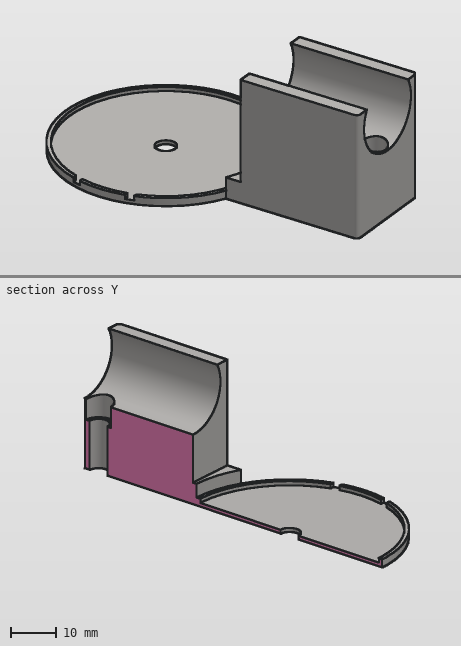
import cadquery as cq

plate_diameter = 52.9
plate_thickness = 2.0
rim_width = 1.0
recess_depth = 1.0
hole_diameter = 5.0

notch_width = 2.0
notch_spacing = 13.9
notch_depth = 1.0

overall_length = 84.9
block_length = 31.0
block_width = 23.95
block_height = 31.0
corner_radius = 1.0
step_height = 5.35

bore_diameter = 19.0
bore_height = 26.5
screw_inset = 4.0
counterbore_diameter = 7.0
counterbore_depth = 5.0

plate_radius = plate_diameter / 2
block_end = overall_length - plate_radius
block_start = block_end - block_length
screw_x = block_end - screw_inset


def cylinder(diameter, height, x=0, z=0):
    """Upright cylinder centred on Y = 0, with its base at height z."""
    return cq.Workplane("XY", origin=(x, 0, z)).circle(diameter / 2).extrude(height)


def x_box(start, end, height):
    """Box of the block's width, resting on Z = 0."""
    return (
        cq.Workplane("XY", origin=(start, 0, 0))
        .box(end - start, block_width, height, centered=(False, True, False))
    )


def make_plate():
    recess_floor = plate_thickness - recess_depth
    plate = cylinder(plate_diameter, plate_thickness)
    plate = plate.cut(cylinder(plate_diameter - 2 * rim_width, recess_depth, z=recess_floor))
    for side in (-1, 1):
        notch = (
            cq.Workplane("XY", origin=(side * notch_spacing / 2, 0, plate_thickness - notch_depth))
            .box(notch_width, plate_radius, notch_depth, centered=(True, False, False))
            .translate((0, -plate_radius, 0))
        )
        plate = plate.cut(notch)
    return plate.cut(cylinder(hole_diameter, plate_thickness))


def make_holder():
    block = x_box(block_start, block_end, block_height).edges("|Z and >X").fillet(corner_radius)
    step = x_box(0, block_start, step_height).cut(cylinder(plate_diameter, step_height))
    bore = (
        cq.Workplane("YZ", origin=(block_start, 0, bore_height))
        .circle(bore_diameter / 2)
        .extrude(block_length)
    )
    screw_hole = cylinder(hole_diameter, block_height, x=screw_x)
    bore_bottom = bore_height - bore_diameter / 2
    counterbore = cylinder(
        counterbore_diameter, block_height, x=screw_x, z=bore_bottom - counterbore_depth
    )
    return block.union(step).cut(bore).cut(screw_hole).cut(counterbore)


result = make_plate().union(make_holder())